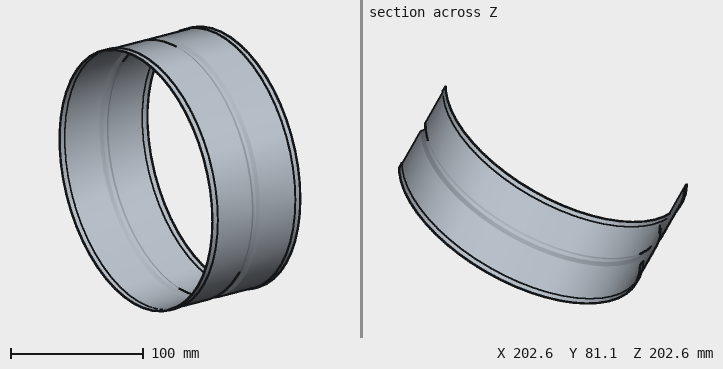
import cadquery as cq
import math

sheet = 0.5
body_outer_radius = 201.35 / 2
body_inner_radius = body_outer_radius - sheet
body_length = 80.0

hem_width = 5.0
hem_gap = 0.1
fold_inner_radius = hem_gap / 2
fold_outer_radius = fold_inner_radius + sheet
fold_center_radius = body_outer_radius + fold_inner_radius
hem_leg_length = hem_width - fold_outer_radius

groove_depth = 2.0
groove_floor_half_width = 1.0
flank_angle = math.radians(35)
bend_inner_radius = 0.5
bend_outer_radius = bend_inner_radius + sheet


def revolve_about_y(section):
    return section.close().revolve(360, (0, 0, 0), (0, 1, 0))


def on_circle(center, radius, angle):
    """Point on a section circle, as (distance from the axis, position along Y)."""
    return (center[0] + radius * math.cos(angle), center[1] + radius * math.sin(angle))


def grooved_plug(radius, crest_bend, floor_bend):
    """Solid cylinder with the groove rolled into it, bounded by one surface of the sheet."""
    floor = radius - groove_depth
    bend_sum = crest_bend + floor_bend
    bend_drop = bend_sum * (1 - math.cos(flank_angle))
    flank_run = (groove_depth - bend_drop) / math.tan(flank_angle)
    crest_y = groove_floor_half_width + bend_sum * math.sin(flank_angle) + flank_run
    crest_center = (radius - crest_bend, crest_y)
    floor_center = (floor + floor_bend, groove_floor_half_width)

    crest_mid = on_circle(crest_center, crest_bend, -flank_angle / 2)
    flank_top = on_circle(crest_center, crest_bend, -flank_angle)
    flank_bottom = on_circle(floor_center, floor_bend, math.pi - flank_angle)
    floor_mid = on_circle(floor_center, floor_bend, math.pi - flank_angle / 2)

    def mirrored(point):
        return (point[0], -point[1])

    end_y = body_length / 2
    section = (
        cq.Workplane("XY")
        .moveTo(0, end_y)
        .lineTo(radius, end_y)
        .lineTo(radius, crest_y)
        .threePointArc(crest_mid, flank_top)
        .lineTo(*flank_bottom)
        .threePointArc(floor_mid, (floor, groove_floor_half_width))
        .lineTo(floor, -groove_floor_half_width)
        .threePointArc(mirrored(floor_mid), mirrored(flank_bottom))
        .lineTo(*mirrored(flank_top))
        .threePointArc(mirrored(crest_mid), (radius, -crest_y))
        .lineTo(radius, -end_y)
        .lineTo(0, -end_y)
    )
    return revolve_about_y(section)


def sleeve():
    """The outside bends tightly at the floor and widely at the crest; the inside is the reverse."""
    outside = grooved_plug(body_outer_radius, bend_outer_radius, bend_inner_radius)
    inside = grooved_plug(body_inner_radius, bend_inner_radius, bend_outer_radius)
    return outside.cut(inside)


def hem():
    """Half-round fold at the +Y end and the leg lying back over the body."""
    fold_y = body_length / 2
    leg_end_y = fold_y - hem_leg_length
    leg_inner_radius = fold_center_radius + fold_inner_radius
    leg_outer_radius = fold_center_radius + fold_outer_radius
    section = (
        cq.Workplane("XY")
        .moveTo(body_inner_radius, fold_y)
        .threePointArc((fold_center_radius, fold_y + fold_outer_radius), (leg_outer_radius, fold_y))
        .lineTo(leg_outer_radius, leg_end_y)
        .lineTo(leg_inner_radius, leg_end_y)
        .lineTo(leg_inner_radius, fold_y)
        .threePointArc((fold_center_radius, fold_y + fold_inner_radius), (body_outer_radius, fold_y))
    )
    return revolve_about_y(section)


front_hem = hem().mirror("XZ")
result = sleeve().union(hem()).union(front_hem).clean()